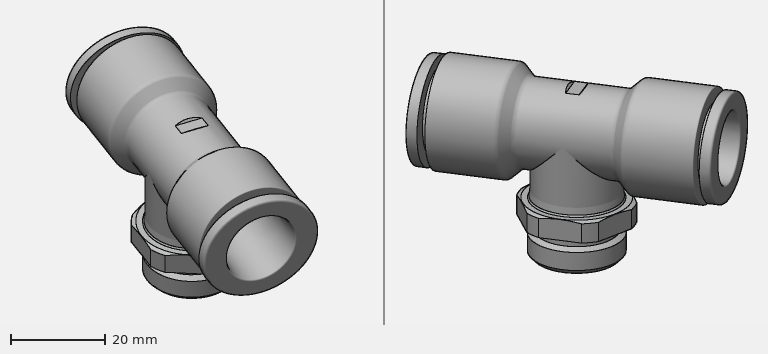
import cadquery as cq
import math

run_length = 68.0
neck_radius = 10.0
socket_radius = 12.8
socket_end_x = 29.9
cone_start_x = 14.0
cone_end_x = 11.1
cone_blend = 1.2
socket_edge_blend = 0.2

collar_width = 27.0
collar_height = 24.0
collar_thickness = 2.6
collar_edge_blend = 0.5
collar_stem_radius = 9.5

bore_radius = 7.0
mouth_radius = 8.15
taper_end_x = cone_start_x
mouth_edge_blend = 0.35

shoulder_start_z = -14.0
shoulder_end_z = -15.6
shoulder_radius = 10.2
shoulder_foot_radius = 10.5
hex_top_z = -16.0
hex_bottom_z = -20.9
groove_radius = 9.2
groove_root_radius = 9.5
groove_root_height = 0.7
thread_radius = 10.55
groove_end_z = -23.4
thread_start_z = -24.15
thread_end_z = -28.35
branch_end_z = -29.5
branch_tip_radius = 9.45

hex_across_flats = 24.0
hex_corner_radius = 12.9
hex_chamfer_width = 1.0
hex_chamfer_height = 0.4

mark_depth = 0.52
mark_floor_length = 3.0
mark_top_length = 3.95


def make_run():
    """Neck flaring through blended cones into a socket at each end."""
    outline = [
        (-socket_end_x, 0),
        (-socket_end_x, socket_radius),
        (-cone_start_x, socket_radius),
        (-cone_end_x, neck_radius),
        (cone_end_x, neck_radius),
        (cone_start_x, socket_radius),
        (socket_end_x, socket_radius),
        (socket_end_x, 0),
    ]
    run = cq.Workplane("XY").polyline(outline).close().revolve(360, (0, 0, 0), (1, 0, 0))
    seam_margin = 0.1
    for side in (-1, 1):
        for x in (cone_start_x, cone_end_x):
            seam = cq.selectors.BoxSelector(
                (side * x - seam_margin, -run_length, -run_length),
                (side * x + seam_margin, run_length, run_length),
                boundingbox=True,
            )
            run = run.edges(seam).fillet(cone_blend)
    return run.faces("<X or >X").edges().fillet(socket_edge_blend)


def make_collar():
    """Oval release collar on its round stem, at the +X end."""
    stem = (
        cq.Workplane("YZ", origin=(socket_end_x, 0, 0))
        .circle(collar_stem_radius)
        .extrude(run_length / 2 - socket_end_x)
    )
    plate = (
        cq.Workplane("YZ", origin=(run_length / 2 - collar_thickness, 0, 0))
        .ellipse(collar_width / 2, collar_height / 2)
        .extrude(collar_thickness)
        .faces(">X")
        .edges()
        .fillet(collar_edge_blend)
    )
    return stem.union(plate)


def make_branch():
    """Round stem with a shoulder, a seal groove and a thread-sized end."""
    outline = [
        (0, 0),
        (neck_radius, 0),
        (neck_radius, shoulder_start_z),
        (shoulder_radius, shoulder_end_z),
        (shoulder_foot_radius, hex_top_z),
        (shoulder_foot_radius, hex_bottom_z),
        (groove_root_radius, hex_bottom_z),
        (groove_radius, hex_bottom_z - groove_root_height),
        (groove_radius, groove_end_z),
        (thread_radius, thread_start_z),
        (thread_radius, thread_end_z),
        (branch_tip_radius, branch_end_z),
        (0, branch_end_z),
    ]
    return cq.Workplane("XZ").polyline(outline).close().revolve(360, (0, 0, 0), (0, 1, 0))


def make_hexagon():
    """Spanner hexagon with flats facing Y, turned corners and a top chamfer."""
    height = hex_top_z - hex_bottom_z
    base = cq.Workplane("XY", origin=(0, 0, hex_bottom_z))
    prism = base.polygon(6, hex_across_flats / math.cos(math.pi / 6)).extrude(height)
    disc = (
        base.circle(hex_corner_radius)
        .extrude(height)
        .faces(">Z")
        .chamfer(hex_chamfer_height, hex_chamfer_width)
    )
    return prism.intersect(disc)


def make_bore():
    """Through bore with a tapered mouth at each end."""
    end_x = run_length / 2
    outline = [
        (-end_x, 0),
        (-end_x, mouth_radius),
        (-taper_end_x, bore_radius),
        (taper_end_x, bore_radius),
        (end_x, mouth_radius),
        (end_x, 0),
    ]
    return cq.Workplane("XY").polyline(outline).close().revolve(360, (0, 0, 0), (1, 0, 0))


def make_mark():
    """Trapezoidal cutter running along Y across the top of the neck."""
    floor_z = neck_radius - mark_depth
    outline = [
        (-mark_floor_length / 2, floor_z),
        (mark_floor_length / 2, floor_z),
        (mark_top_length / 2, neck_radius),
        (-mark_top_length / 2, neck_radius),
    ]
    return cq.Workplane("XZ").polyline(outline).close().extrude(neck_radius, both=True)


collar = make_collar()
result = (
    make_run()
    .union(make_branch())
    .union(make_hexagon())
    .union(collar)
    .union(collar.mirror("YZ"))
    .cut(make_mark())
    .cut(make_bore())
)

result = result.faces("<X or >X").edges("%CIRCLE").fillet(mouth_edge_blend)